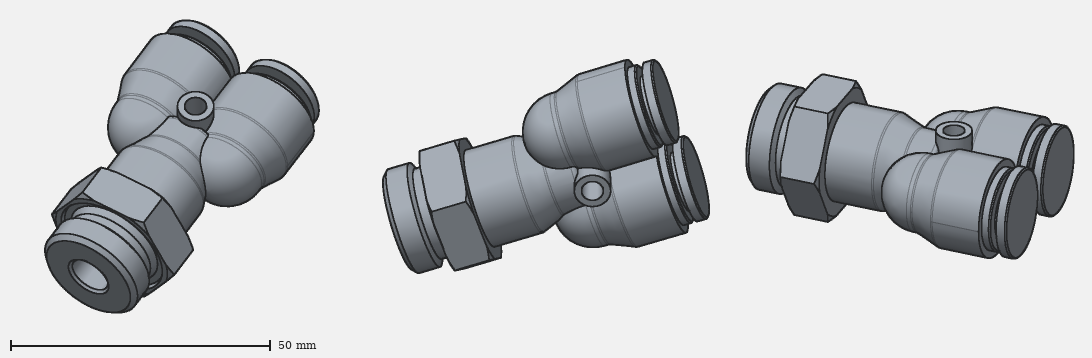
import cadquery as cq
import math


thread_diameter = 20.95
thread_end_chamfer = 1.0
thread_shoulder_y = 5.3
neck_start_y = 6.0
neck_diameter = 18.2
neck_flare_y = 8.0
neck_flare_slope = 0.45
hex_start_y = 8.5
hex_end_y = 16.6
hex_across_flats = 24.0
hex_corner_circle_diameter = 25.2
hex_corner_chamfer_height = 0.55
seal_recess_mouth_diameter = 22.9
seal_recess_floor_diameter = 22.4
seal_recess_depth = 1.0
bore_diameter = 8.0
bore_chamfer = 0.55

body_diameter = 19.5
waist_diameter = 15.5
shoulder_length = 5.0
blend_radius = 1.0
stem_shoulder_y = 26.5
stem_end_y = 37.5
port_spacing = 18.0
port_mouth_y = 52.5
port_shoulder_y = 42.55
port_lean = 0.05
dome_center_y = 36.5
eyelet_y = 39.45
eyelet_diameter = 7.0
eyelet_hole_diameter = 4.2

ring_diameter = 16.5
ring_end_y = 54.25
sleeve_neck_diameter = 11.7
flange_width = 16.0
flange_height = 18.4
flange_start_y = 55.45
flange_end_y = 57.5
edge_chamfer = 0.3

port_centers_x = [-port_spacing / 2, port_spacing / 2]


def revolve_profile(profile):
    """Turn a closed XY profile, drawn on the +X side, around the Y axis."""
    return profile.close().revolve(360, (0, 0, 0), (0, 1, 0))


def cylinder_along_y(diameter, start_y, end_y):
    start_plane = cq.Workplane("XZ", origin=(0, start_y, 0))
    return start_plane.circle(diameter / 2).extrude(start_y - end_y)


def blend_circles(turned, shoulder_positions):
    """Round the circular edges of a turned solid that lie at the given Y positions."""
    for position in shoulder_positions:
        window = cq.selectors.BoxSelector(
            (-body_diameter, position - blend_radius / 10, -body_diameter),
            (body_diameter, position + blend_radius / 10, body_diameter),
        )
        turned = turned.edges("%CIRCLE").edges(window).fillet(blend_radius)
    return turned


def make_turned_end():
    """Thread, undercut neck and the flare that reaches the floor of the seal recess."""
    thread_radius = thread_diameter / 2
    neck_radius = neck_diameter / 2
    floor_y = hex_start_y + seal_recess_depth
    flare_radius = neck_radius + neck_flare_slope * (floor_y - neck_flare_y)
    return revolve_profile(
        cq.Workplane("XY")
        .moveTo(0, 0)
        .lineTo(thread_radius - thread_end_chamfer, 0)
        .lineTo(thread_radius, thread_end_chamfer)
        .lineTo(thread_radius, thread_shoulder_y)
        .lineTo(neck_radius, neck_start_y)
        .lineTo(neck_radius, neck_flare_y)
        .lineTo(flare_radius, floor_y)
        .lineTo(flare_radius, hex_end_y)
        .lineTo(0, hex_end_y)
    )


def make_hexagon():
    """Hexagon with flats at top and bottom, conical corners and the seal recess."""
    corner_radius = hex_across_flats / math.sqrt(3)
    circle_radius = hex_corner_circle_diameter / 2
    prism = (
        cq.Workplane("XZ", origin=(0, hex_start_y, 0))
        .polygon(6, 2 * corner_radius)
        .extrude(hex_start_y - hex_end_y)
    )
    corner_trim = revolve_profile(
        cq.Workplane("XY")
        .moveTo(0, hex_start_y)
        .lineTo(circle_radius, hex_start_y)
        .lineTo(corner_radius, hex_start_y + hex_corner_chamfer_height)
        .lineTo(corner_radius, hex_end_y - hex_corner_chamfer_height)
        .lineTo(circle_radius, hex_end_y)
        .lineTo(0, hex_end_y)
    )
    seal_recess = revolve_profile(
        cq.Workplane("XY")
        .moveTo(0, hex_start_y)
        .lineTo(seal_recess_mouth_diameter / 2, hex_start_y)
        .lineTo(seal_recess_floor_diameter / 2, hex_start_y + seal_recess_depth)
        .lineTo(0, hex_start_y + seal_recess_depth)
    )
    return prism.intersect(corner_trim).cut(seal_recess)


def make_adapter():
    bore_radius = bore_diameter / 2
    bore = revolve_profile(
        cq.Workplane("XY")
        .moveTo(0, 0)
        .lineTo(bore_radius + bore_chamfer, 0)
        .lineTo(bore_radius, bore_chamfer)
        .lineTo(bore_radius, hex_end_y)
        .lineTo(0, hex_end_y)
    )
    return make_hexagon().union(make_turned_end()).cut(bore)


def make_stem():
    """Round stem narrowing to a waist with a rounded end between the ports."""
    waist_start_y = stem_shoulder_y + shoulder_length
    stem = revolve_profile(
        cq.Workplane("XY")
        .moveTo(0, hex_end_y)
        .lineTo(body_diameter / 2, hex_end_y)
        .lineTo(body_diameter / 2, stem_shoulder_y)
        .lineTo(waist_diameter / 2, waist_start_y)
        .lineTo(waist_diameter / 2, stem_end_y)
        .lineTo(0, stem_end_y)
    )
    return blend_circles(stem, [stem_shoulder_y, waist_start_y, stem_end_y])


def make_port(lean):
    """Port whose mouth is centred on the Y axis and whose dome is shifted along X by the lean."""
    mouth_radius = body_diameter / 2
    waist_radius = waist_diameter / 2
    waist_end_y = port_shoulder_y - shoulder_length
    diagonal = waist_radius * math.sqrt(0.5)
    domed_end = revolve_profile(
        cq.Workplane("XY")
        .moveTo(0, dome_center_y - waist_radius)
        .threePointArc((diagonal, dome_center_y - diagonal), (waist_radius, dome_center_y))
        .lineTo(waist_radius, waist_end_y)
        .lineTo(mouth_radius, port_shoulder_y)
        .lineTo(0, port_shoulder_y)
    ).translate((lean, 0, 0))
    barrel = (
        cq.Workplane("XZ", origin=(lean, port_shoulder_y, 0))
        .circle(mouth_radius)
        .workplane(offset=port_shoulder_y - port_mouth_y)
        .center(-lean, 0)
        .circle(mouth_radius)
        .loft(ruled=True)
    )
    return blend_circles(domed_end.union(barrel), [waist_end_y, port_shoulder_y])


def make_housing():
    housing = make_stem()
    for center_x in port_centers_x:
        lean_to_middle = -math.copysign(port_lean, center_x)
        housing = housing.union(make_port(lean_to_middle).translate((center_x, 0, 0)))
    eyelet_plane = cq.Workplane("XY", origin=(0, eyelet_y, 0))
    eyelet = eyelet_plane.circle(eyelet_diameter / 2).extrude(body_diameter / 2, both=True)
    eyelet_hole = eyelet_plane.circle(eyelet_hole_diameter / 2).extrude(body_diameter, both=True)
    return housing.union(eyelet).cut(eyelet_hole)


def make_guide_ring(center_x):
    """Ring on the port mouth, with a hole for the neck of the release sleeve."""
    ring = cylinder_along_y(ring_diameter, port_mouth_y, ring_end_y).faces(">Y").chamfer(edge_chamfer)
    neck_hole = cylinder_along_y(sleeve_neck_diameter, port_mouth_y, ring_end_y)
    return ring.cut(neck_hole).translate((center_x, 0, 0))


def make_release_sleeve(center_x):
    """Round neck with an oval press flange."""
    neck = cylinder_along_y(sleeve_neck_diameter, port_mouth_y, flange_start_y)
    flange = (
        cq.Workplane("XZ", origin=(0, flange_start_y, 0))
        .ellipse(flange_width / 2, flange_height / 2)
        .extrude(flange_start_y - flange_end_y)
        .faces(">Y")
        .chamfer(edge_chamfer)
    )
    return neck.union(flange).translate((center_x, 0, 0))


adapter = make_adapter()
housing = make_housing()
guide_rings = [make_guide_ring(center_x).val() for center_x in port_centers_x]
release_sleeves = [make_release_sleeve(center_x).val() for center_x in port_centers_x]

result = cq.Compound.makeCompound(
    [adapter.val(), housing.val(), *guide_rings, *release_sleeves]
)